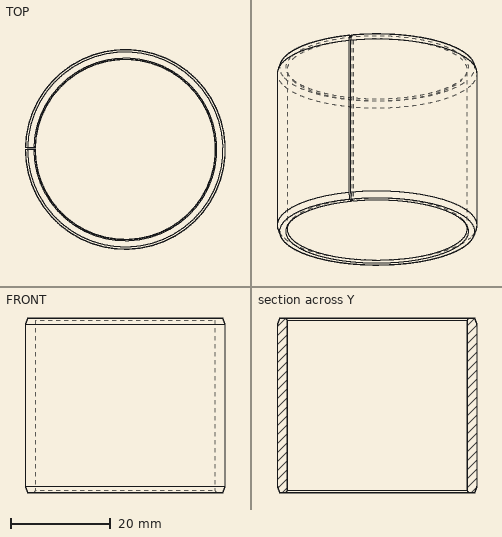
import cadquery as cq
import math

outer_diameter = 40.0
wall_thickness = 2.0
length = 35.0

outer_chamfer_length = 1.3
outer_chamfer_angle = 20.0

bore_chamfer_length = 0.5
bore_chamfer_angle = 30.0

joint_angle = 1.0

outer_radius = outer_diameter / 2
bore_radius = outer_radius - wall_thickness
half_length = length / 2


def chamfer_depth(axial_length, angle):
    """Radial depth of a chamfer of the given axial length and angle."""
    return axial_length * math.tan(math.radians(angle))


def make_wall_section():
    """Chamfered wall section in the XZ plane, on the -X side of the axis."""
    outer_end_radius = outer_radius - chamfer_depth(outer_chamfer_length, outer_chamfer_angle)
    bore_end_radius = bore_radius + chamfer_depth(bore_chamfer_length, bore_chamfer_angle)
    outer_shoulder = half_length - outer_chamfer_length
    bore_shoulder = half_length - bore_chamfer_length
    return (
        cq.Workplane("XZ")
        .moveTo(-bore_end_radius, -half_length)
        .lineTo(-outer_end_radius, -half_length)
        .lineTo(-outer_radius, -outer_shoulder)
        .lineTo(-outer_radius, outer_shoulder)
        .lineTo(-outer_end_radius, half_length)
        .lineTo(-bore_end_radius, half_length)
        .lineTo(-bore_radius, bore_shoulder)
        .lineTo(-bore_radius, -bore_shoulder)
        .close()
    )


def make_split_sleeve():
    """Sweep the section around Z from the -X side through -Y, stopping short by the joint."""
    return make_wall_section().revolve(360 - joint_angle, (0, 0, 0), (0, 1, 0))


result = make_split_sleeve()